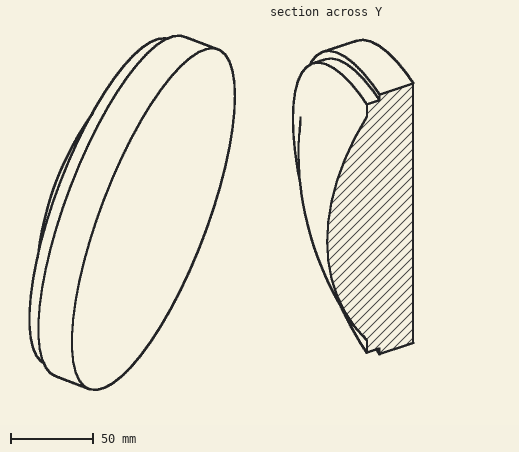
import cadquery as cq
import math

overall_length = 57.61
flange_radius = 219.07 / 2
flange_width = 22.6
step_radius = 209.55 / 2
step_width = 8.5
dome_base_radius = 94.3
base_fillet_radius = 3.0

flange_front_x = -flange_width
step_front_x = flange_front_x - step_width
dome_tip_x = -overall_length

dome_height = step_front_x - dome_tip_x
sphere_radius = (dome_base_radius**2 + dome_height**2) / (2 * dome_height)
sphere_center_x = dome_tip_x + sphere_radius

blend_center_x = step_front_x - base_fillet_radius
blend_offset_x = blend_center_x - sphere_center_x
center_distance = sphere_radius + base_fillet_radius
blend_center_r = math.sqrt(center_distance**2 - blend_offset_x**2)


def dome_point(angle):
    """Point (x, r) on the dome at an angle from the axis, seen from the sphere centre."""
    x = sphere_center_x - sphere_radius * math.cos(angle)
    return (x, sphere_radius * math.sin(angle))


def blend_point(angle):
    """Point (x, r) on the blend, on the line inclined at an angle to the axis."""
    x = blend_center_x + base_fillet_radius * math.cos(angle)
    return (x, blend_center_r - base_fillet_radius * math.sin(angle))


def cap_profile():
    """Half section of the cap: X along the axis, Y as radius."""
    dome_angle = math.atan2(blend_center_r, -blend_offset_x)
    return (
        cq.Workplane("XY")
        .moveTo(dome_tip_x, 0)
        .threePointArc(dome_point(dome_angle / 2), dome_point(dome_angle))
        .threePointArc(blend_point(dome_angle / 2), blend_point(0))
        .lineTo(step_front_x, step_radius)
        .lineTo(flange_front_x, step_radius)
        .lineTo(flange_front_x, flange_radius)
        .lineTo(0, flange_radius)
        .lineTo(0, 0)
        .close()
    )


result = cap_profile().revolve(360, (0, 0, 0), (1, 0, 0))